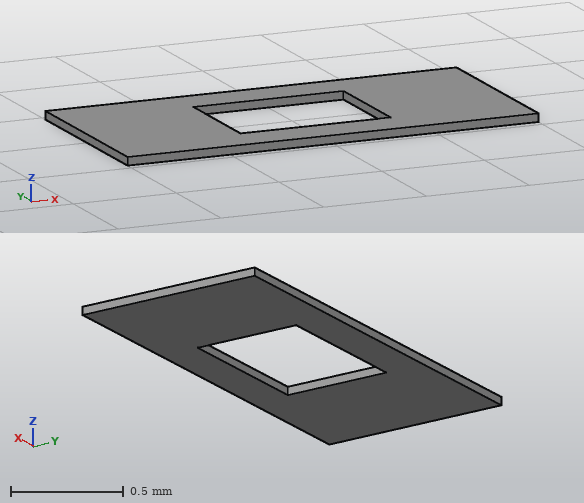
import cadquery as cq

plate_length = 2.0
plate_width = 0.92
plate_thickness = 0.04

window_length = 0.73
window_width = 0.525

plate = cq.Workplane("XY").box(plate_length, plate_width, plate_thickness)

result = plate.faces(">Z").workplane().rect(window_length, window_width).cutThruAll()